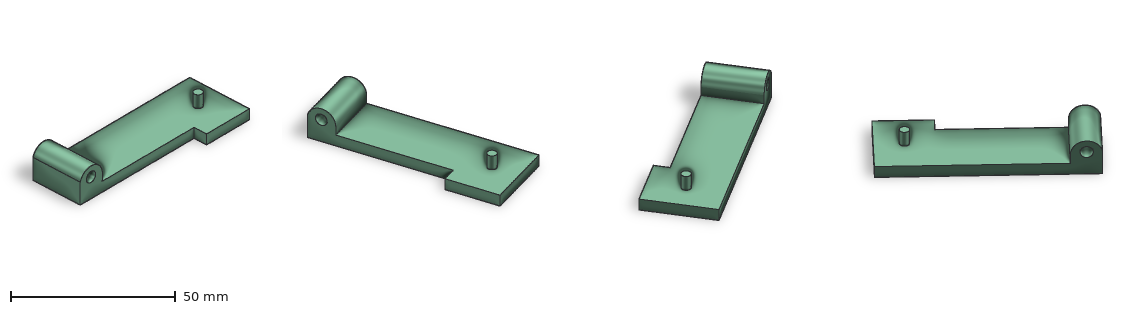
import cadquery as cq

total_length = 69.3
arm_width = 19.75
pad_width = 25.0
pad_length = 19.0
plate_thickness = 4.0

total_height = 12.0
knuckle_radius = 5.0
knuckle_axis_y = 4.8
knuckle_axis_z = total_height - knuckle_radius
pin_hole_diameter = 4.0
pin_hole_z = 8.0

peg_diameter = 3.2
peg_height = 5.0
peg_x = pad_width / 2
peg_y = total_length - pad_length / 2


def make_plate():
    arm = cq.Workplane("XY").box(arm_width, total_length, plate_thickness, centered=False)
    pad = (
        cq.Workplane("XY", origin=(0, total_length - pad_length, 0))
        .box(pad_width, pad_length, plate_thickness, centered=False)
    )
    return arm.union(pad)


def make_knuckle():
    barrel = (
        cq.Workplane("YZ")
        .center(knuckle_axis_y, knuckle_axis_z)
        .circle(knuckle_radius)
        .extrude(arm_width)
    )
    block_length = knuckle_axis_y + knuckle_radius
    block = cq.Workplane("XY").box(arm_width, block_length, knuckle_axis_z, centered=False)
    envelope = cq.Workplane("XY").box(arm_width, block_length, total_height, centered=False)
    return barrel.union(block).intersect(envelope)


def make_pin_hole():
    return (
        cq.Workplane("YZ")
        .center(knuckle_axis_y, pin_hole_z)
        .circle(pin_hole_diameter / 2)
        .extrude(arm_width)
    )


def make_peg():
    return (
        cq.Workplane("XY", origin=(peg_x, peg_y, plate_thickness))
        .circle(peg_diameter / 2)
        .extrude(peg_height)
    )


result = make_plate().union(make_knuckle()).cut(make_pin_hole()).union(make_peg())